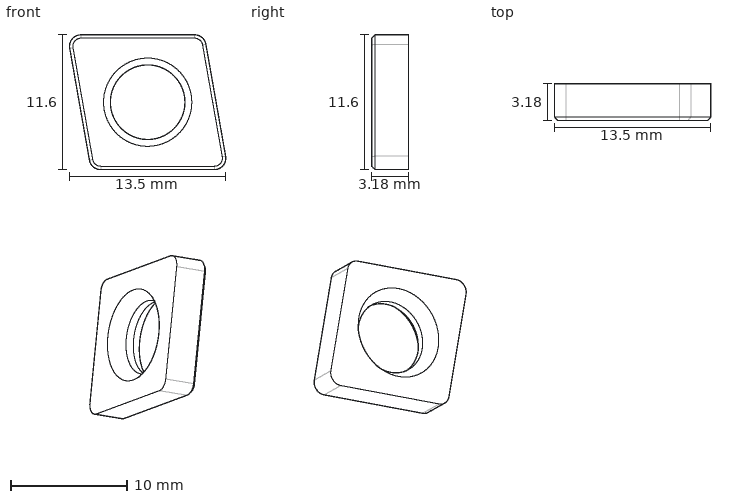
import cadquery as cq
import math

rhombus_height = 11.62
acute_angle = 80.0
corner_radius = 1.0
thickness = 3.18
edge_chamfer = 0.3
hole_diameter = 6.4
front_countersink_diameter = 7.6
back_countersink_diameter = 8.0
countersink_half_angle = 30.0

side_length = rhombus_height / math.sin(math.radians(acute_angle))
side_lean = rhombus_height / math.tan(math.radians(acute_angle))
half_height = rhombus_height / 2


def make_plate():
    """Rounded rhombus plate, front face on Y = 0 and back face on Y = thickness."""
    top_left = (-(side_length + side_lean) / 2, half_height)
    top_right = (top_left[0] + side_length, half_height)
    bottom_right = (-top_left[0], -half_height)
    bottom_left = (-top_right[0], -half_height)
    plate = (
        cq.Workplane("XZ")
        .polyline([top_left, top_right, bottom_right, bottom_left])
        .close()
        .extrude(-thickness)
    )
    plate = plate.edges("|Y").fillet(corner_radius)
    return plate.faces("<Y").chamfer(edge_chamfer)


def countersink_depth(countersink_diameter):
    """Depth of a cone that narrows from the given diameter to the hole diameter."""
    cone_width = (countersink_diameter - hole_diameter) / 2
    return cone_width / math.tan(math.radians(countersink_half_angle))


def make_hole_cutter():
    """Through hole with a conical countersink on the front face and a wider one on the back."""
    hole_radius = hole_diameter / 2
    profile = [
        (0, 0),
        (front_countersink_diameter / 2, 0),
        (hole_radius, countersink_depth(front_countersink_diameter)),
        (hole_radius, thickness - countersink_depth(back_countersink_diameter)),
        (back_countersink_diameter / 2, thickness),
        (0, thickness),
    ]
    return cq.Workplane("XY").polyline(profile).close().revolve(360, (0, 0, 0), (0, 1, 0))


result = make_plate().cut(make_hole_cutter())